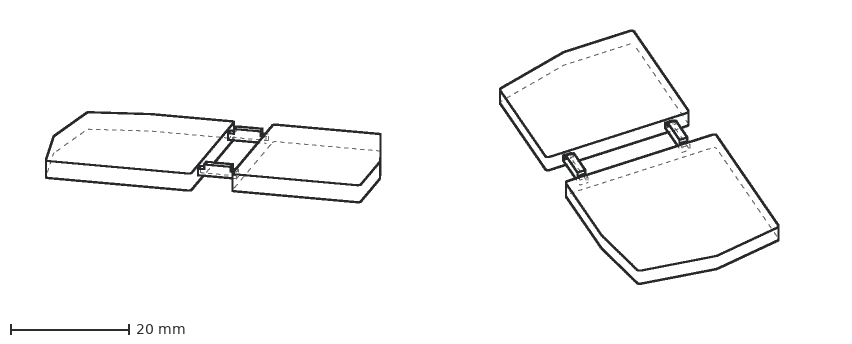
import cadquery as cq

plate_thickness = 3.05
corner_radius = 0.5
nose_radius = 1.5

left_plate_right = 27.5
left_plate_top = 28.15
left_bottom_corner_x = 2.05
left_nose_y = 12.65
left_shoulder_x = 2.2
left_shoulder_y = 26.25
left_top_slope_end_x = 12.9

plate_gap = 6.7
right_plate_left = left_plate_right + plate_gap
right_plate_right = 56.7
right_plate_bottom = 1.7
right_plate_top = 28.4
right_top_corner_x = 53.05
right_knee_y = 14.65

bar_width = 1.5
bar_bottom = 1.2
bar_step_height = 2.4
bar_top = 3.25
bar_step_length = 1.0
bar_spacing = 19.05
lower_bar_y = 5.5

nose_run = left_nose_y / left_bottom_corner_x
nose_overshoot = nose_radius * ((1 + 1 / nose_run**2) ** 0.5 - 1)


def left_plate():
    """Six-sided plate with a blunt nose on its left side."""
    nose = (-nose_overshoot, left_nose_y)
    outline = [
        (left_bottom_corner_x, 0),
        (left_plate_right, 0),
        (left_plate_right, left_plate_top),
        (left_top_slope_end_x, left_plate_top),
        (left_shoulder_x, left_shoulder_y),
        nose,
    ]
    plate = cq.Workplane("XY").polyline(outline).close().extrude(plate_thickness)
    plate = plate.edges("|Z").edges("<X").fillet(nose_radius)
    sharp_corners = [outline[0], outline[1], outline[2], outline[4]]
    return round_corners(plate, sharp_corners)


def right_plate():
    """Five-sided plate with its upper right side cut at a slant."""
    outline = [
        (right_plate_left, right_plate_bottom),
        (right_plate_right, right_plate_bottom),
        (right_plate_right, right_knee_y),
        (right_top_corner_x, right_plate_top),
        (right_plate_left, right_plate_top),
    ]
    plate = cq.Workplane("XY").polyline(outline).close().extrude(plate_thickness)
    return round_corners(plate, outline)


def round_corners(plate, corners):
    """Round the vertical edges that stand on the given corners."""
    for x, y in corners:
        edge = cq.selectors.NearestToPointSelector((x, y, plate_thickness / 2))
        plate = plate.edges("|Z").edges(edge).fillet(corner_radius)
    return plate


def connecting_bar(center_y):
    """Bar across the gap, with a raised middle between two low ends."""
    raised_start = left_plate_right + bar_step_length
    raised_end = right_plate_left - bar_step_length
    profile = [
        (left_plate_right, bar_bottom),
        (right_plate_left, bar_bottom),
        (right_plate_left, bar_step_height),
        (raised_end, bar_step_height),
        (raised_end, bar_top),
        (raised_start, bar_top),
        (raised_start, bar_step_height),
        (left_plate_right, bar_step_height),
    ]
    bar = cq.Workplane("XZ").polyline(profile).close().extrude(bar_width / 2, both=True)
    return bar.translate((0, center_y, 0))


result = left_plate().union(right_plate())
for bar_y in (lower_bar_y, lower_bar_y + bar_spacing):
    result = result.union(connecting_bar(bar_y))